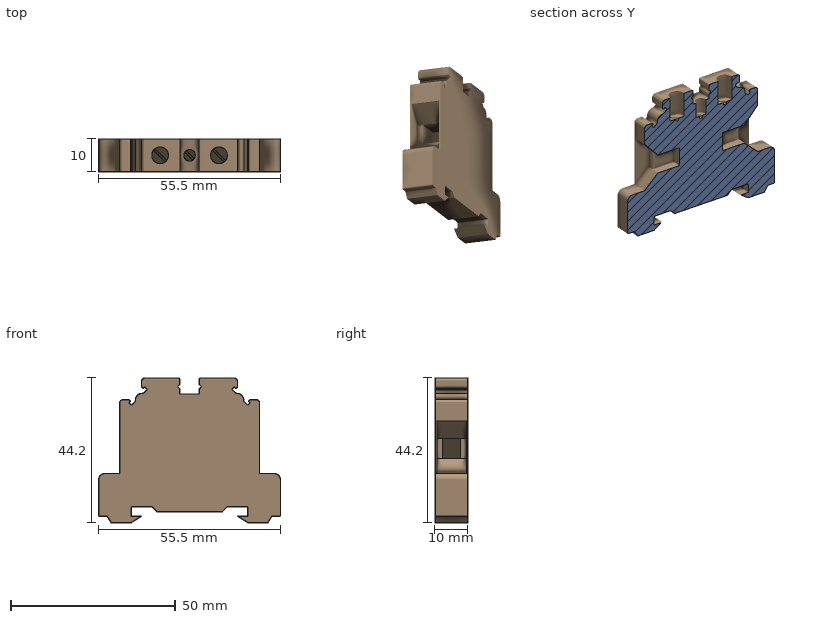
import cadquery as cq
import math

length = 55.5
thickness = 10.0
height = 44.15
half_length = length / 2
mid_y = thickness / 2

foot_top_z = 15.06
foot_top_radius = 2.0
foot_bottom_z = 1.95
foot_bottom_radius = 0.4
claw_outer_x = 25.1
claw_heel_x = 23.9
claw_toe_x = 17.75
claw_tip_x = 14.65
claw_tip_z = 2.0
rail_gap_x = 17.7
rail_gap_top_z = 4.86
rail_gap_radius = 0.3
rail_pad_z = 3.35
rail_pad_x = 9.97
rail_pad_chamfer = rail_gap_top_z - rail_pad_z

body_x = 21.35
shoulder_z = 37.57
block_x = 14.65
corner_chamfer = 0.7
corner_blend = 0.5

hook_nose_chamfer = 0.5
hook_nose_blend = 0.5
hook_nose_z = 40.9
hook_nose_end_angle = -75.0
hook_apex_x = 13.63
hook_root_x = 13.04
hook_root_z = 40.73
hook_throat = 0.2
hump_top_z = 39.46
hump_radius = 2.3
hump_start_x = 14.85
hook_foot_blend = 0.85

slot_half_width = 2.93
slot_floor_z = 39.3
slot_edge_radius = 0.5
notch_depth = 0.53
notch_bottom_z = 40.8
notch_top_z = 42.2

entry_width = 9.0
entry_depth = 5.1
entry_mouth_top_z = 31.07
entry_inner_top_z = 25.66
entry_inner_bottom_z = 19.6
clamp_width = 5.55
clamp_depth = 8.0

terminal_screw_x = 8.97
terminal_hole_diameter = 5.1
terminal_hole_depth = 8.0
link_hole_diameter = 3.5
link_hole_depth = 5.0
driver_slot_width = 0.65
driver_slot_depth = 0.8
driver_slot_angle = -45.0

BLEND_REACH = math.tan(math.radians(45) / 2)


def hook_mirror(point):
    """Swap a point of the upper hook with its twin on the lower hook."""
    shift = shoulder_z - block_x
    return (point[1] - shift, point[0] + shift)


def polar(center, radius, degrees):
    angle = math.radians(degrees)
    return (center[0] + radius * math.cos(angle), center[1] + radius * math.sin(angle))


def arc_step(center, radius, start_angle, end_angle):
    """An arc as the pair (middle point, end point)."""
    middle_angle = (start_angle + end_angle) / 2
    return (polar(center, radius, middle_angle), polar(center, radius, end_angle))


def follow(outline, steps):
    """Extend an outline: a one-point step is a line to it, a two-point step is an arc."""
    for step in steps:
        if len(step) == 1:
            outline = outline.lineTo(*step[0])
        else:
            outline = outline.threePointArc(*step)
    return outline


def eased_corner(corner_x, corner_z):
    """Top outer corner: a 45 degree chamfer whose two edges are blended by arcs."""
    tangent = corner_blend * BLEND_REACH
    low_center = (corner_x - corner_blend, corner_z - corner_chamfer - tangent)
    high_center = (corner_x - corner_chamfer - tangent, corner_z - corner_blend)
    return [
        (polar(high_center, corner_blend, 90),),
        arc_step(high_center, corner_blend, 90, 45),
        (polar(low_center, corner_blend, 45),),
        arc_step(low_center, corner_blend, 45, 0),
    ]


def hook_path():
    """Upper hook from the block wall to the hump, as line and arc steps."""
    tangent = hook_nose_blend * BLEND_REACH
    wall_center = (block_x - hook_nose_blend, hook_nose_z + hook_nose_chamfer + tangent)
    nose_center = (block_x - hook_nose_chamfer - tangent, hook_nose_z + hook_nose_blend)
    nose_end = polar(nose_center, hook_nose_blend, hook_nose_end_angle)
    apex = (hook_apex_x, nose_end[1] + nose_end[0] - hook_apex_x)
    root_top = (hook_root_x, hook_root_z)
    root_bottom = (hook_root_x, hook_root_z - hook_throat)

    ramp_end_x = hook_root_x + root_bottom[1] - hump_top_z
    blend_center = (ramp_end_x + hook_foot_blend * BLEND_REACH, hump_top_z + hook_foot_blend)
    return [
        (polar(wall_center, hook_nose_blend, 0),),
        arc_step(wall_center, hook_nose_blend, 0, -45),
        (polar(nose_center, hook_nose_blend, -45),),
        arc_step(nose_center, hook_nose_blend, -45, hook_nose_end_angle),
        (apex,),
        (root_top,),
        (root_bottom,),
        (polar(blend_center, hook_foot_blend, -135),),
        arc_step(blend_center, hook_foot_blend, -135, -90),
        ((hump_start_x, hump_top_z),),
    ]


def lower_hook_path():
    """The upper hook path mirrored and run backwards, from the hump to the shoulder top."""
    steps = hook_path()
    reversed_steps = []
    for index in range(len(steps) - 1, 0, -1):
        step = steps[index]
        start = hook_mirror(steps[index - 1][-1])
        if len(step) == 1:
            reversed_steps.append((start,))
        else:
            reversed_steps.append((hook_mirror(step[0]), start))
    return reversed_steps


def half_body():
    """The +X half of the housing, from the slot down to the foot."""
    outline = (
        cq.Workplane("XZ")
        .moveTo(0, slot_floor_z)
        .lineTo(slot_half_width, slot_floor_z)
        .lineTo(slot_half_width, notch_bottom_z)
        .lineTo(slot_half_width + notch_depth, notch_bottom_z + notch_depth)
        .lineTo(slot_half_width + notch_depth, notch_top_z - notch_depth)
        .lineTo(slot_half_width, notch_top_z)
        .lineTo(slot_half_width, height - slot_edge_radius)
        .radiusArc((slot_half_width + slot_edge_radius, height), slot_edge_radius)
    )
    outline = follow(outline, eased_corner(block_x, height))
    outline = follow(outline, hook_path())
    outline = outline.radiusArc(hook_mirror((hump_start_x, hump_top_z)), hump_radius)
    outline = follow(outline, lower_hook_path())
    outline = follow(outline, eased_corner(body_x, shoulder_z))
    outline = (
        outline.lineTo(body_x, foot_top_z)
        .lineTo(half_length - foot_top_radius, foot_top_z)
        .radiusArc((half_length, foot_top_z - foot_top_radius), foot_top_radius)
        .lineTo(half_length, foot_bottom_z + foot_bottom_radius)
        .radiusArc((half_length - foot_bottom_radius, foot_bottom_z), foot_bottom_radius)
        .lineTo(claw_outer_x, foot_bottom_z)
        .lineTo(claw_heel_x, 0)
        .lineTo(claw_toe_x, 0)
        .lineTo(claw_tip_x, claw_tip_z)
        .lineTo(rail_gap_x, claw_tip_z)
        .lineTo(rail_gap_x, rail_gap_top_z - rail_gap_radius)
        .radiusArc((rail_gap_x - rail_gap_radius, rail_gap_top_z), -rail_gap_radius)
        .lineTo(rail_pad_x + rail_pad_chamfer, rail_gap_top_z)
        .lineTo(rail_pad_x, rail_pad_z)
        .lineTo(0, rail_pad_z)
        .close()
    )
    return outline.extrude(-thickness)


def wire_entry():
    """Funnel in the +X end face, narrowing to a rectangular clamp opening."""
    inner_x = body_x - entry_depth
    funnel = (
        cq.Workplane("XZ", origin=(0, mid_y, 0))
        .polyline([
            (body_x, foot_top_z),
            (body_x, entry_mouth_top_z),
            (inner_x, entry_inner_top_z),
            (inner_x, entry_inner_bottom_z),
        ])
        .close()
        .extrude(entry_width / 2, both=True)
    )
    clamp = cq.Workplane("XY").box(
        clamp_depth, clamp_width, entry_inner_top_z - entry_inner_bottom_z, centered=(False, True, False)
    )
    return funnel.union(clamp.translate((inner_x - clamp_depth, mid_y, entry_inner_bottom_z)))


def screw_hole(x, top_z, diameter, depth):
    """Blind hole with a driver slot cut across its floor."""
    hole = cq.Workplane("XY").circle(diameter / 2).extrude(-depth)
    slot_blank = cq.Workplane("XY").circle(diameter / 2).extrude(-depth - driver_slot_depth)
    blade = (
        cq.Workplane("XY")
        .rect(diameter, driver_slot_width)
        .extrude(-depth - driver_slot_depth)
        .rotate((0, 0, 0), (0, 0, 1), driver_slot_angle)
    )
    return hole.union(slot_blank.intersect(blade)).translate((x, mid_y, top_z))


half = half_body().cut(wire_entry())
result = half.union(half.mirror("YZ"))
for screw_x in (-terminal_screw_x, terminal_screw_x):
    result = result.cut(screw_hole(screw_x, height, terminal_hole_diameter, terminal_hole_depth))
result = result.cut(screw_hole(0, slot_floor_z, link_hole_diameter, link_hole_depth))